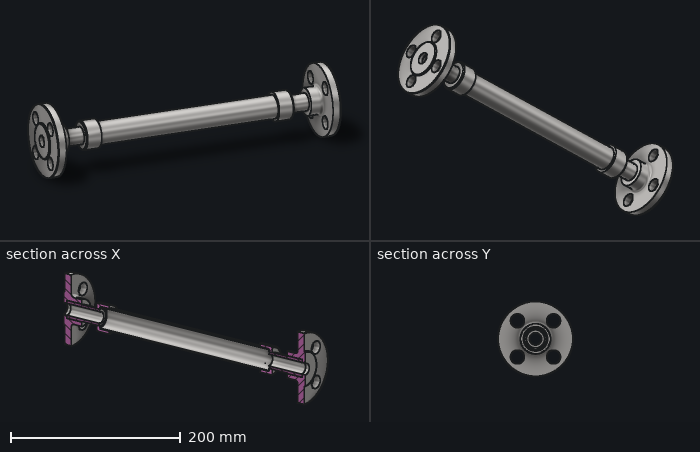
import cadquery as cq

overall_length = 368.3
half_length = overall_length / 2

flange_diameter = 88.8
flange_thickness = 12.0
raised_face_diameter = 44.0
raised_face_height = 1.5
raised_face_bevel = 1.0
rim_bevel_width = 0.5
rim_bevel_depth = 1.0
hub_diameter = 34.0
flange_length = 28.0
hub_fillet = 3.5
bolt_hole_diameter = 16.0
bolt_circle_diameter = 60.5
bolt_count = 4

nipple_diameter = 21.5
bore_diameter = 14.0
nipple_inset = 5.5

cap_diameter = 35.7
cap_length = 19.5
cap_inset = 50.0
cap_chamfer = 1.5
cap_wall = 5.5

tube_diameter = 28.7
tube_bore_diameter = 25.5

flange_inner_end = half_length - flange_length
nipple_outer_end = half_length - nipple_inset
cap_outer_end = half_length - cap_inset
cap_inner_end = cap_outer_end - cap_length
cap_shoulder = cap_outer_end - cap_wall


def rod(diameter, start, end):
    """Solid cylinder on the Y axis between two stations."""
    plane = cq.Plane(origin=(0, start, 0), xDir=(1, 0, 0), normal=(0, 1, 0))
    return cq.Workplane(plane).circle(diameter / 2).extrude(end - start)


def pipe(outer_diameter, inner_diameter, start, end):
    """Hollow cylinder on the Y axis between two stations."""
    return rod(outer_diameter, start, end).cut(rod(inner_diameter, start, end))


def flange_profile():
    """Half section of the flange: radius along X, station along Y."""
    hub_radius = hub_diameter / 2
    disc_radius = flange_diameter / 2
    raised_radius = raised_face_diameter / 2
    disc_back = half_length - flange_thickness
    disc_front = half_length - raised_face_height
    fillet_offset = hub_fillet * (1 - 0.5 ** 0.5)
    return (
        cq.Workplane("XY")
        .moveTo(0, flange_inner_end)
        .lineTo(hub_radius, flange_inner_end)
        .lineTo(hub_radius, disc_back - hub_fillet)
        .threePointArc(
            (hub_radius + fillet_offset, disc_back - fillet_offset),
            (hub_radius + hub_fillet, disc_back),
        )
        .lineTo(disc_radius, disc_back)
        .lineTo(disc_radius, disc_front - rim_bevel_depth)
        .lineTo(disc_radius - rim_bevel_width, disc_front)
        .lineTo(raised_radius, disc_front)
        .lineTo(raised_radius - raised_face_bevel, half_length)
        .lineTo(0, half_length)
        .close()
    )


def make_flange():
    """Socket flange at the +Y end."""
    body = flange_profile().revolve(360, (0, 0, 0), (0, 1, 0))
    first_bolt_angle = 180 / bolt_count
    bolt_holes = (
        cq.Workplane("XZ", origin=(0, half_length, 0))
        .polarArray(bolt_circle_diameter / 2, first_bolt_angle, 360, bolt_count)
        .circle(bolt_hole_diameter / 2)
        .extrude(flange_thickness)
    )
    bore = rod(bore_diameter, flange_inner_end, half_length)
    socket = rod(nipple_diameter, flange_inner_end, nipple_outer_end)
    return body.cut(bolt_holes).cut(bore).cut(socket)


def make_nipple():
    """Pipe from the flange socket to the cap shoulder at the +Y end."""
    return pipe(nipple_diameter, bore_diameter, cap_shoulder, nipple_outer_end)


def make_cap():
    """Cap at the +Y end, with a nipple hole and a wider tube recess."""
    body = rod(cap_diameter, cap_inner_end, cap_outer_end).faces(">Y").chamfer(cap_chamfer)
    nipple_hole = rod(nipple_diameter, cap_shoulder, cap_outer_end)
    tube_recess = rod(tube_diameter, cap_inner_end, cap_shoulder)
    return body.cut(nipple_hole).cut(tube_recess)


tube = pipe(tube_diameter, tube_bore_diameter, -cap_shoulder, cap_shoulder)

bodies = [tube.val()]
for end_angle in (0, 180):
    for make_part in (make_flange, make_nipple, make_cap):
        end_part = make_part().rotate((0, 0, 0), (0, 0, 1), end_angle)
        bodies.append(end_part.val())

result = cq.Compound.makeCompound(bodies)